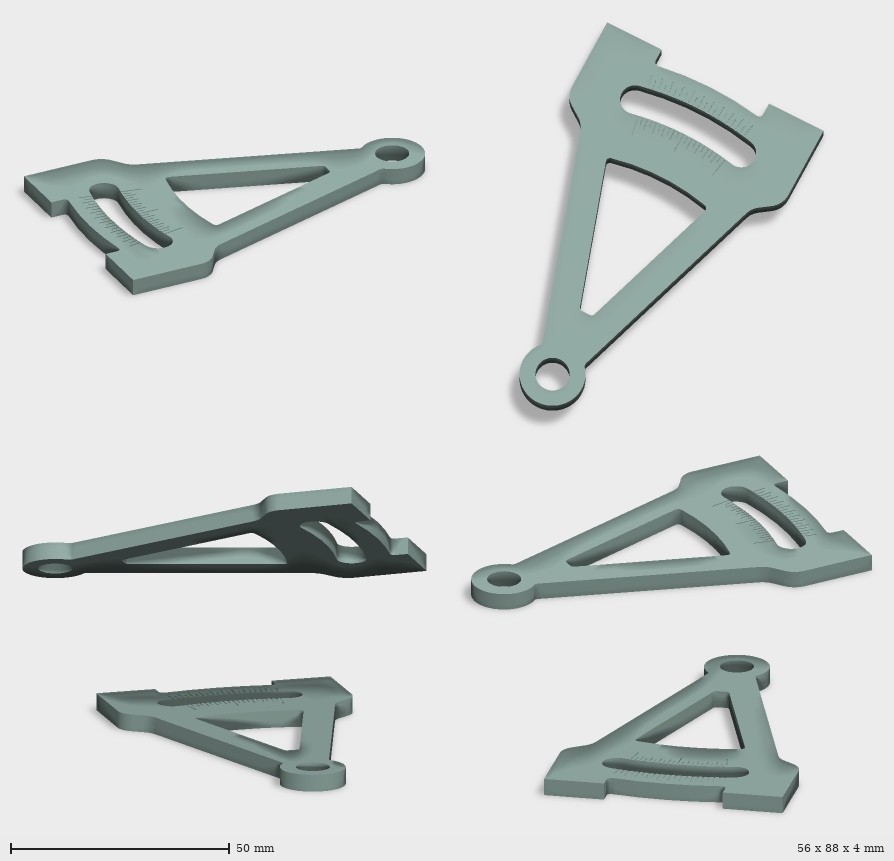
import cadquery as cq
import math

THICKNESS = 4.0
LENGTH = 88.0
WIDTH = 56.0

RING_RADIUS = 7.6
PIVOT_DIAMETER = 7.8
NECK_FILLET = 1.1

LEG_ANGLE = 18.0
LEG_WIDTH = 7.0

SHOULDER_ANGLE = 35.0
SHOULDER_DROP = 60.5
SHOULDER_FILLET = 5.0
CORNER_FILLET = 1.0
NOTCH_WIDTH = 27.8

WINDOW_TOP_DROP = 16.5
WINDOW_RADIUS = 53.4
SLOT_INNER_RADIUS = 64.9
SLOT_OUTER_RADIUS = 71.8
SLOT_HALF_ANGLE = 11.6
NOTCH_RADIUS = 77.6

TICK_COUNT_PER_SIDE = 10
TICK_STEP = 1.0
TICK_WIDTH = 0.3
TICK_DEPTH = 0.2
MAIN_LONG_TICK = 5.0
MAIN_EVEN_TICK = 2.8
MAIN_ODD_TICK = 2.0
VERNIER_EVEN_TICK = 3.3
VERNIER_ODD_TICK = 2.2

foot_y = RING_RADIUS - LENGTH
half_width = WIDTH / 2
leg_slope = math.tan(math.radians(LEG_ANGLE))
leg_half_span = LEG_WIDTH / 2 / math.cos(math.radians(LEG_ANGLE))


def polar(radius, angle):
    """Point at a radius from the pivot, angle in degrees from -Y toward +X."""
    turn = math.radians(angle)
    return (radius * math.sin(turn), -radius * math.cos(turn))


def mirrored(points):
    """Close a right-hand chain of points with its mirror image across the Y axis."""
    return points + [(-x, y) for x, y in reversed(points)]


def prism(points):
    """Full-thickness plate with a straight-sided outline."""
    return cq.Workplane("XY").polyline(points).close().extrude(THICKNESS)


def disc(radius):
    """Full-thickness disc about the pivot."""
    return cq.Workplane("XY").circle(radius).extrude(THICKNESS)


def edges_near(body, points, tolerance=0.2):
    """Vertical edges of a body that pass through the given plan points or their mirror images."""
    def is_near(edge):
        centre = edge.Center()
        return any(math.hypot(abs(centre.x) - x, centre.y - y) < tolerance for x, y in points)

    return body.newObject([edge for edge in body.edges("|Z").vals() if is_near(edge)])


def make_plate():
    """Solid outline of ring, legs and foot, with the pivot hole."""
    shoulder_slope = math.tan(math.radians(SHOULDER_ANGLE))
    hip_y = (shoulder_slope * (half_width - leg_half_span) - SHOULDER_DROP) / (1 - shoulder_slope * leg_slope)
    hip = (leg_half_span - leg_slope * hip_y, hip_y)
    shoulder = (half_width, -SHOULDER_DROP)
    body = prism(mirrored([(leg_half_span, 0), hip, shoulder, (half_width, foot_y)]))
    body = edges_near(body, [hip, shoulder]).fillet(SHOULDER_FILLET)

    body = body.union(disc(RING_RADIUS))
    neck_angle = LEG_ANGLE + math.degrees(math.asin(LEG_WIDTH / 2 / RING_RADIUS))
    body = edges_near(body, [polar(RING_RADIUS, neck_angle)]).fillet(NECK_FILLET)
    return body.cut(disc(PIVOT_DIAMETER / 2))


def make_window():
    """Opening between the legs, closed below by an arc about the pivot."""
    def inner_leg(y):
        return (-leg_slope * y - leg_half_span, y)

    wedge = prism(mirrored([inner_leg(-WINDOW_TOP_DROP), inner_leg(-WINDOW_RADIUS)]))
    return wedge.intersect(disc(WINDOW_RADIUS)).edges("|Z").fillet(CORNER_FILLET)


def make_slot():
    """Curved slot about the pivot with round ends."""
    mid_radius = (SLOT_INNER_RADIUS + SLOT_OUTER_RADIUS) / 2
    end_radius = (SLOT_OUTER_RADIUS - SLOT_INNER_RADIUS) / 2
    return (
        cq.Workplane("XY")
        .moveTo(*polar(SLOT_OUTER_RADIUS, -SLOT_HALF_ANGLE))
        .threePointArc(polar(SLOT_OUTER_RADIUS, 0), polar(SLOT_OUTER_RADIUS, SLOT_HALF_ANGLE))
        .lineTo(*polar(SLOT_INNER_RADIUS, SLOT_HALF_ANGLE))
        .threePointArc(polar(SLOT_INNER_RADIUS, 0), polar(SLOT_INNER_RADIUS, -SLOT_HALF_ANGLE))
        .close()
        .extrude(THICKNESS)
        .union(
            cq.Workplane("XY")
            .pushPoints([polar(mid_radius, side * SLOT_HALF_ANGLE) for side in (-1, 1)])
            .circle(end_radius)
            .extrude(THICKNESS)
        )
    )


def make_notch():
    """Notch in the foot, its roof an arc about the pivot."""
    half_notch = NOTCH_WIDTH / 2
    block = prism(mirrored([(half_notch, -SLOT_OUTER_RADIUS), (half_notch, foot_y)]))
    notch = block.cut(disc(NOTCH_RADIUS))
    roof_corner_y = -math.sqrt(NOTCH_RADIUS**2 - half_notch**2)
    return edges_near(notch, [(half_notch, roof_corner_y)]).fillet(CORNER_FILLET)


def make_tick(start_radius, end_radius, angle):
    """Radial groove cut into the top face."""
    length = end_radius - start_radius
    return (
        cq.Workplane("XY")
        .box(TICK_WIDTH, length, TICK_DEPTH, centered=(True, False, False))
        .translate((0, -end_radius, THICKNESS - TICK_DEPTH))
        .rotate((0, 0, 0), (0, 0, 1), angle)
    )


def engrave_scales(body):
    """Cut the main scale above the slot and the vernier scale below it."""
    for index in range(-TICK_COUNT_PER_SIDE, TICK_COUNT_PER_SIDE + 1):
        is_even = index % 2 == 0
        main_length = MAIN_EVEN_TICK if is_even else MAIN_ODD_TICK
        if index % TICK_COUNT_PER_SIDE == 0:
            main_length = MAIN_LONG_TICK
        vernier_length = VERNIER_EVEN_TICK if is_even else VERNIER_ODD_TICK
        body = body.cut(
            make_tick(SLOT_INNER_RADIUS - main_length, SLOT_OUTER_RADIUS + vernier_length, index * TICK_STEP)
        )
    return body


plate = make_plate().cut(make_window()).cut(make_slot()).cut(make_notch())
result = engrave_scales(plate)